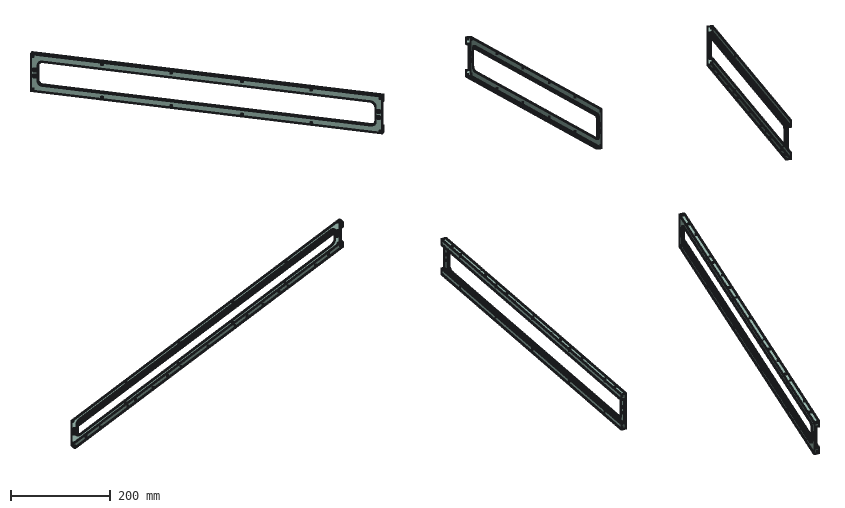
import cadquery as cq

length = 737.0
depth = 10.0
height = 79.5
front_y = -depth / 2

wall_thickness = 4.5
rail_height = 12.5

window_side_margin = 14.0
window_rail_margin = 14.0
window_corner_radius = 10.0

face_hole_diameter = 3.25
face_hole_depth = 7.0
face_hole_half_spans = (74.5, 219.5, 365.0)
face_hole_inset = 4.0

screw_diameter = 3.5
screw_head_diameter = 7.0
screw_inset = 7.5
screw_spacing = 13.0
countersink_angle = 90

edge_hole_depth = 5.0
edge_hole_diameter = 2.4
main_row_y = front_y + 7.5
main_row_half_spans = (151.0, 295.5)
offset_row_y = front_y + 5.0
offset_row_half_spans = (109.0, 197.5, 333.0)


def mirrored(half_spans):
    """Positions at each half span on both sides of zero."""
    return [side * span for span in half_spans for side in (-1, 1)]


def frame():
    """C-section bar with a round-cornered window."""
    body = cq.Workplane("XY").box(length, depth, height)
    channel = cq.Workplane("XY").box(length, depth, height - 2 * rail_height)
    window = (
        cq.Workplane("XY")
        .box(length - 2 * window_side_margin, depth, height - 2 * window_rail_margin)
        .edges("|Y")
        .fillet(window_corner_radius)
    )
    return body.cut(channel.translate((0, wall_thickness, 0))).cut(window)


def front_plane():
    """Workplane on the front face, facing outward."""
    return cq.Workplane("XZ", origin=(0, front_y, 0))


def drill_face_holes(body):
    row_z = height / 2 - face_hole_inset
    points = [(x, z) for x in mirrored(face_hole_half_spans) for z in (-row_z, row_z)]
    holes = front_plane().pushPoints(points).circle(face_hole_diameter / 2).extrude(-face_hole_depth)
    return body.cut(holes)


def drill_screw_holes(body):
    pair_spacing = length - 2 * screw_inset
    return (
        body.faces("<Y")
        .workplane(origin=(0, front_y, 0))
        .rarray(pair_spacing, screw_spacing, 2, 2)
        .cskHole(screw_diameter, screw_head_diameter, countersink_angle, wall_thickness)
    )


def drill_edge_row(body, positions, y):
    """Drill the same row into the top edge and the bottom edge."""
    points = [(x, y) for x in positions]
    top_holes = (
        cq.Workplane("XY", origin=(0, 0, height / 2))
        .pushPoints(points)
        .circle(edge_hole_diameter / 2)
        .extrude(-edge_hole_depth)
    )
    return body.cut(top_holes).cut(top_holes.mirror("XY"))


main_row = [0.0] + mirrored(main_row_half_spans)
offset_row = mirrored(offset_row_half_spans)

result = frame()
result = drill_face_holes(result)
result = drill_screw_holes(result)
result = drill_edge_row(result, main_row, main_row_y)
result = drill_edge_row(result, offset_row, offset_row_y)